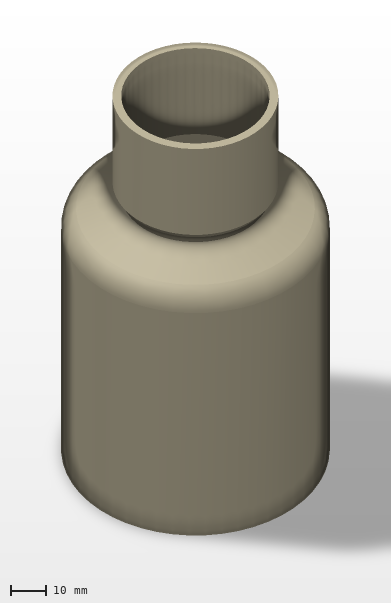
import cadquery as cq
import math

height = 130.5
body_diameter = 76.1
collar_diameter = 47.0
neck_diameter = 42.0
bore_diameter = 42.0

body_top = 82.1
shoulder_edge = 89.0
neck_base = 94.1
collar_base = 97.0

shoulder_edge_diameter = 67.6
collar_chamfer_width = 1.2
collar_chamfer_height = 1.8
bore_floor = 98.8

body_radius = body_diameter / 2
collar_radius = collar_diameter / 2
neck_radius = neck_diameter / 2
shoulder_edge_radius = shoulder_edge_diameter / 2

round_width = body_radius - shoulder_edge_radius
round_height = shoulder_edge - body_top
round_radius = (round_width**2 + round_height**2) / (2 * round_width)
round_half_angle = math.asin(round_height / round_radius) / 2
round_mid = (
    body_radius - round_radius * (1 - math.cos(round_half_angle)),
    body_top + round_radius * math.sin(round_half_angle),
)


def make_bottle():
    """Revolve the outer profile about the Z axis."""
    return (
        cq.Workplane("XZ")
        .lineTo(body_radius, 0)
        .lineTo(body_radius, body_top)
        .threePointArc(round_mid, (shoulder_edge_radius, shoulder_edge))
        .lineTo(neck_radius, neck_base)
        .lineTo(neck_radius, collar_base)
        .lineTo(collar_radius - collar_chamfer_width, collar_base)
        .lineTo(collar_radius, collar_base + collar_chamfer_height)
        .lineTo(collar_radius, height)
        .lineTo(0, height)
        .close()
        .revolve(360, (0, 0, 0), (0, 1, 0))
    )


def make_bore():
    """Blind bore that opens at the top of the collar."""
    return (
        cq.Workplane("XY")
        .workplane(offset=bore_floor)
        .circle(bore_diameter / 2)
        .extrude(height - bore_floor)
    )


result = make_bottle().cut(make_bore())